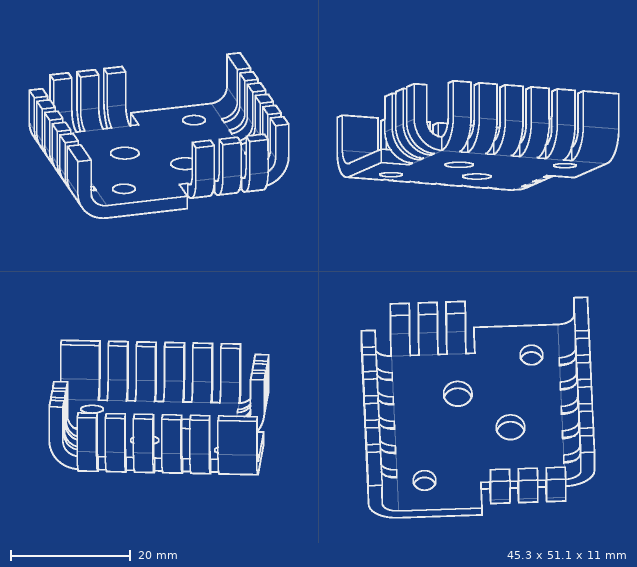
import cadquery as cq
import math

thickness = 2.3
outer_bend_radius = 5.0
inner_bend_radius = outer_bend_radius - thickness
height = 11.0

half_width = 14.0
half_length = 12.5
ear_half_length = half_length + outer_bend_radius
base_turn = 38.6

slot_width = 1.5
end_fin_count = 3
end_fin_pitch = half_width / end_fin_count
end_fin_width = end_fin_pitch - slot_width
side_length = half_length + ear_half_length
narrow_fin_count = 5
side_fin_width = (side_length - narrow_fin_count * slot_width) / (narrow_fin_count + 2)
side_fin_pitch = side_fin_width + slot_width

mount_hole_diameter = 3.8
mount_hole_y = 15.05
centre_hole_diameter = 4.75
centre_hole_x = 5.45
centre_hole_y = -1.75


def bent_fin(width):
    """Upturned fin: bend line on the Y axis from y = 0 to y = width, bending towards +X."""
    diagonal = math.sqrt(0.5)
    outer_mid = (outer_bend_radius * diagonal, outer_bend_radius * (1 - diagonal))
    inner_mid = (inner_bend_radius * diagonal, outer_bend_radius - inner_bend_radius * diagonal)
    return (
        cq.Workplane("XZ")
        .threePointArc(outer_mid, (outer_bend_radius, outer_bend_radius))
        .lineTo(outer_bend_radius, height)
        .lineTo(inner_bend_radius, height)
        .lineTo(inner_bend_radius, outer_bend_radius)
        .threePointArc(inner_mid, (0, thickness))
        .close()
        .extrude(-width)
    )


def turn(shape, degrees):
    return shape.rotate((0, 0, 0), (0, 0, 1), degrees)


def half_body():
    """Base half with x > 0, its flat ear, the fins on its side and those on its end."""
    body = cq.Workplane("XY").box(
        half_width, side_length, thickness, centered=False
    ).translate((0, -half_length, 0))

    for index in range(narrow_fin_count + 1):
        width = side_fin_width if index < narrow_fin_count else 2 * side_fin_width
        start = -half_length + index * side_fin_pitch
        body = body.union(bent_fin(width).translate((half_width, start, 0)))

    end_fin = turn(bent_fin(end_fin_width), -90)
    for index in range(end_fin_count):
        start = half_width - end_fin_width - index * end_fin_pitch
        body = body.union(end_fin.translate((start, -half_length, 0)))
    return body


def through_holes(points, diameter):
    return cq.Workplane("XY").pushPoints(points).circle(diameter / 2).extrude(thickness)


half = half_body()
body = turn(half.union(turn(half, 180)), base_turn)

mount_holes = through_holes([(0, mount_hole_y), (0, -mount_hole_y)], mount_hole_diameter)
centre_holes = through_holes(
    [(centre_hole_x, centre_hole_y), (-centre_hole_x, centre_hole_y)], centre_hole_diameter
)
result = body.cut(mount_holes).cut(centre_holes)